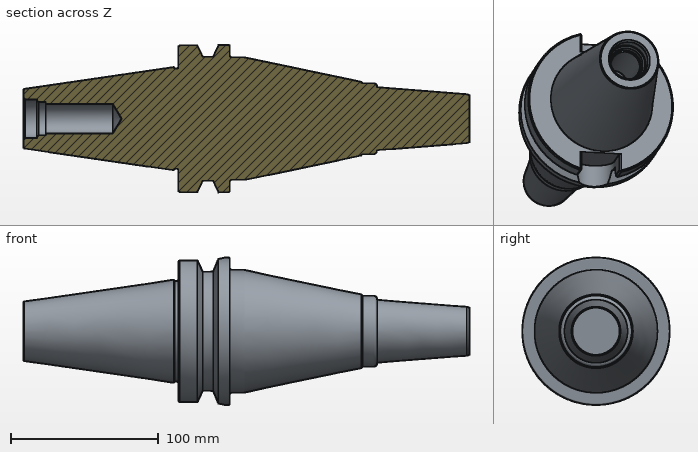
import cadquery as cq
import math

total_length = 301.8

gauge_length = 101.7
gauge_radius = 35.0
taper_ratio = 7 / 24
small_end_radius = gauge_radius - gauge_length * taper_ratio / 2
small_end_chamfer = 0.5
relief_start = 102.3
relief_radius = 34.0
root_fillet = 1.0

flange_start = 104.7
flange_end = 139.7
flange_diameter = 100.0
flange_radius = flange_diameter / 2
flange_face_chamfer = 1.0
flange_back_fillet = 1.2
groove_radius = 42.3
groove_bottom_start = 121.3
groove_bottom_end = 128.3
groove_flank_width = 3.5

collar_radius = 41.5
collar_end = 149.5
body_end = 228.5
body_end_radius = 25.0
body_end_chamfer = 1.0
band_radius = body_end_radius - body_end_chamfer
nose_start = 239.3
band_fillet = 2.7
nose_slope = math.tan(math.radians(4.5))
nose_start_radius = band_radius - band_fillet
nose_tip_radius = nose_start_radius - (total_length - nose_start) * nose_slope
nose_tip_chamfer_length = 1.8
nose_tip_chamfer_depth = 0.5

slot_width = 25.7
slot_floor_height = 35.3
slot_end = 136.5
slot_edge_chamfer = 1.2

mouth_radius = 14.2
pilot_radius = 13.0
pilot_depth = 9.0
lead_in_radius = 12.5
thread_radius = 11.2
thread_depth = 15.0
drill_radius = 10.0
drill_depth = 60.5
drill_point_angle = 118.0


def make_body():
    """Revolve the outer profile of taper, flange, chuck cone and nose."""
    tip_start = total_length - nose_tip_chamfer_length
    tip_start_radius = nose_tip_radius + nose_tip_chamfer_length * nose_slope
    return (
        cq.Workplane("XY")
        .moveTo(0, 0)
        .lineTo(0, small_end_radius - small_end_chamfer)
        .lineTo(small_end_chamfer, small_end_radius + small_end_chamfer * taper_ratio / 2)
        .lineTo(gauge_length, gauge_radius)
        .lineTo(relief_start, relief_radius)
        .lineTo(flange_start - root_fillet, relief_radius)
        .radiusArc((flange_start, relief_radius + root_fillet), -root_fillet)
        .lineTo(flange_start, flange_radius - flange_face_chamfer)
        .lineTo(flange_start + flange_face_chamfer, flange_radius)
        .lineTo(groove_bottom_start - groove_flank_width, flange_radius)
        .lineTo(groove_bottom_start, groove_radius)
        .lineTo(groove_bottom_end, groove_radius)
        .lineTo(groove_bottom_end + groove_flank_width, flange_radius)
        .lineTo(flange_end - flange_back_fillet, flange_radius)
        .radiusArc((flange_end, flange_radius - flange_back_fillet), flange_back_fillet)
        .lineTo(flange_end, collar_radius + root_fillet)
        .radiusArc((flange_end + root_fillet, collar_radius), -root_fillet)
        .lineTo(collar_end, collar_radius)
        .lineTo(body_end, body_end_radius)
        .lineTo(body_end + body_end_chamfer, band_radius)
        .lineTo(nose_start - band_fillet, band_radius)
        .radiusArc((nose_start, nose_start_radius), band_fillet)
        .lineTo(tip_start, tip_start_radius)
        .lineTo(total_length, nose_tip_radius - nose_tip_chamfer_depth)
        .lineTo(total_length, 0)
        .close()
        .revolve(360, (0, 0, 0), (1, 0, 0))
    )


def make_bore():
    """Stepped blind bore with a conical drill point."""
    lead_in_depth = pilot_depth + lead_in_radius - thread_radius
    tip_depth = drill_depth + drill_radius / math.tan(math.radians(drill_point_angle / 2))
    return (
        cq.Workplane("XY")
        .polyline(
            [
                (0, 0),
                (0, mouth_radius),
                (mouth_radius - pilot_radius, pilot_radius),
                (pilot_depth, pilot_radius),
                (pilot_depth, lead_in_radius),
                (lead_in_depth, thread_radius),
                (thread_depth, thread_radius),
                (thread_depth, drill_radius),
                (drill_depth, drill_radius),
                (tip_depth, 0),
            ]
        )
        .close()
        .revolve(360, (0, 0, 0), (1, 0, 0))
    )


def make_slot():
    """Round-ended drive slot cutter above the +Z side, with chamfered edges."""
    half_width = slot_width / 2
    slot_height = flange_radius - slot_floor_height
    arc_center = slot_end - half_width
    slot = (
        cq.Workplane("XY", origin=(0, 0, slot_floor_height))
        .moveTo(flange_start, -half_width)
        .lineTo(arc_center, -half_width)
        .threePointArc((slot_end, 0), (arc_center, half_width))
        .lineTo(flange_start, half_width)
        .close()
        .extrude(slot_height)
    )
    mouth = (
        cq.Workplane("XY", origin=(0, 0, slot_floor_height))
        .polyline(
            [
                (flange_start, -half_width - slot_edge_chamfer),
                (flange_start + slot_edge_chamfer, -half_width),
                (flange_start + slot_edge_chamfer, half_width),
                (flange_start, half_width + slot_edge_chamfer),
            ]
        )
        .close()
        .extrude(slot_height)
    )
    flare_half_width = half_width + slot_edge_chamfer
    flare_top = math.sqrt(flange_radius**2 - flare_half_width**2)
    rim = (
        cq.Workplane("YZ", origin=(flange_start, 0, 0))
        .polyline(
            [
                (-half_width, flare_top - slot_edge_chamfer),
                (-flare_half_width, flare_top),
                (-flare_half_width, flange_radius),
                (flare_half_width, flange_radius),
                (flare_half_width, flare_top),
                (half_width, flare_top - slot_edge_chamfer),
            ]
        )
        .close()
        .extrude(groove_bottom_start - flange_start)
    )
    return slot.union(mouth).union(rim)


body = make_body().cut(make_bore())
slot = make_slot()
for angle in (0, 180):
    body = body.cut(slot.rotate((0, 0, 0), (1, 0, 0), angle))

result = body